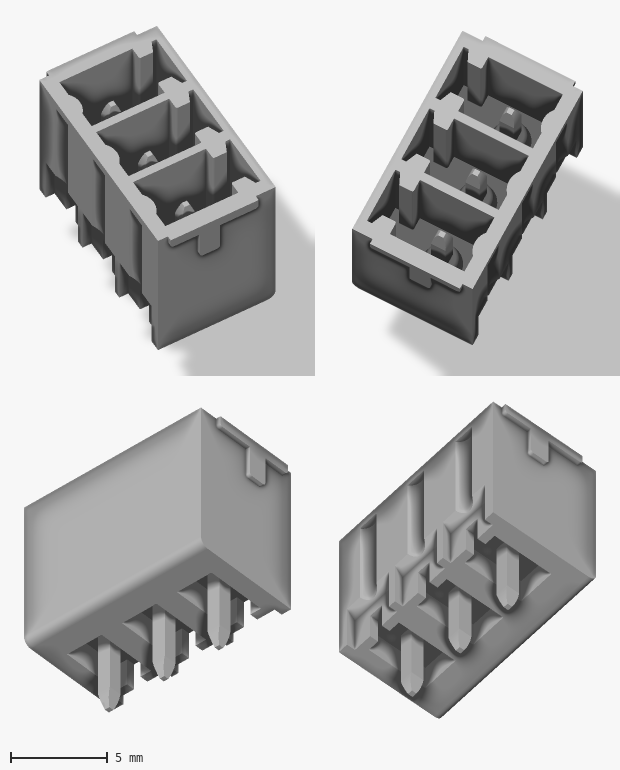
import cadquery as cq


LENGTH = 12.82
KEY_THICKNESS = 0.3
BODY_LENGTH = LENGTH - 2 * KEY_THICKNESS
BODY_DEPTH = 7.05
BODY_HEIGHT = 9.2
FRONT_Y = -3.01
BACK_Y = FRONT_Y + BODY_DEPTH
BACK_EDGE_RADIUS = 0.51

PITCH = 3.8
STATION_X = [-PITCH, 0.0, PITCH]

KEY_BAR_FRONT_Y = -2.42
KEY_BAR_BACK_Y = 2.85
KEY_BAR_HEIGHT = 0.63
KEY_STEM_FRONT_Y = -0.67
KEY_STEM_BACK_Y = 0.54
KEY_HEIGHT = 2.5
KEY_RADIUS = 0.19

RECESS_WIDTH = 3.33
RECESS_DEPTH = 0.54
RECESS_HEIGHT = 2.97
RECESS_INNER_HEIGHT = 2.45

GROOVE_WIDTH = 1.31
GROOVE_DEPTH = 0.37
GROOVE_TOP_Z = BODY_HEIGHT - 0.53

CAVITY_WIDTH = 3.33
CAVITY_FRONT_Y = -2.19
CAVITY_SHOULDER_Y = 2.18
CAVITY_FLOOR_Z = RECESS_HEIGHT
NECK_WIDTH = 1.86
NECK_END_Y = 3.0
NECK_RADIUS = 0.1
KEYWAY_WIDTH = 3.14
KEYWAY_FRONT_Y = 3.28
KEYWAY_BACK_Y = 3.56
BULGE_RADIUS = 1.09

COLLAR_BASE_DIAMETER = 2.18
COLLAR_TOP_DIAMETER = 1.41
COLLAR_ROUNDING = 0.18
COLLAR_SHOULDER_DIAMETER = COLLAR_TOP_DIAMETER + 2 * COLLAR_ROUNDING
COLLAR_CONE_HEIGHT = 0.83

PIN_SLOT_WIDTH = 0.92
PIN_SLOT_HEIGHT = 1.68
SKIRT_THICKNESS = 0.54
POCKET_WIDTH = 2.38
POCKET_HEIGHT = PIN_SLOT_HEIGHT
POCKET_FRONT_Y = FRONT_Y + RECESS_DEPTH + SKIRT_THICKNESS

PIN_WIDTH = 0.83
PIN_TIP_WIDTH = 0.31
PIN_TIP_LENGTH = 1.06
PIN_BOTTOM_Z = -3.19
PIN_TOP_Z = 7.82


def block(x_center, width, y_min, y_max, z_min, z_max):
    """Box centred on x_center in X, between the given Y and Z limits."""
    return (
        cq.Workplane("XY", origin=(x_center, (y_min + y_max) / 2, z_min))
        .rect(width, y_max - y_min)
        .extrude(z_max - z_min)
    )


def body_block():
    body = block(0, BODY_LENGTH, FRONT_Y, BACK_Y, 0, BODY_HEIGHT)
    return body.edges(">Y and <Z").fillet(BACK_EDGE_RADIUS)


def end_keys():
    """T-shaped keys as one slab over the full length, with its lower outer corners rounded."""
    bar_z = BODY_HEIGHT - KEY_BAR_HEIGHT
    stem_z = BODY_HEIGHT - KEY_HEIGHT
    bar = block(0, LENGTH, KEY_BAR_FRONT_Y, KEY_BAR_BACK_Y, bar_z, BODY_HEIGHT)
    stem = block(0, LENGTH, KEY_STEM_FRONT_Y, KEY_STEM_BACK_Y, stem_z, BODY_HEIGHT)
    return bar.edges("|X and <Z").fillet(KEY_RADIUS).union(stem.edges("|X and <Z").fillet(KEY_RADIUS))


def front_recess(x):
    """Recess at the foot of the front face, its roof rising towards the front."""
    inner_y = FRONT_Y + RECESS_DEPTH
    return (
        cq.Workplane("YZ", origin=(x - RECESS_WIDTH / 2, 0, 0))
        .moveTo(FRONT_Y, 0)
        .lineTo(inner_y, 0)
        .lineTo(inner_y, RECESS_INNER_HEIGHT)
        .lineTo(FRONT_Y, RECESS_HEIGHT)
        .close()
        .extrude(RECESS_WIDTH)
    )


def front_groove(x):
    """Round-bottomed groove running down the front face into the recess."""
    half_width = GROOVE_WIDTH / 2
    return (
        cq.Workplane("XY", origin=(x, FRONT_Y, RECESS_INNER_HEIGHT))
        .moveTo(-half_width, 0)
        .threePointArc((0, GROOVE_DEPTH), (half_width, 0))
        .close()
        .extrude(GROOVE_TOP_Z - RECESS_INNER_HEIGHT)
    )


def plug_cavity(x):
    """Plug chamber with a dovetail keyway behind it and a round bulge on its front wall."""
    depth = BODY_HEIGHT - CAVITY_FLOOR_Z
    chamber = block(x, CAVITY_WIDTH, CAVITY_FRONT_Y, CAVITY_SHOULDER_Y, CAVITY_FLOOR_Z, BODY_HEIGHT)
    keyway = (
        cq.Workplane("XY", origin=(x, 0, CAVITY_FLOOR_Z))
        .moveTo(-NECK_WIDTH / 2, CAVITY_SHOULDER_Y)
        .lineTo(NECK_WIDTH / 2, CAVITY_SHOULDER_Y)
        .lineTo(NECK_WIDTH / 2, NECK_END_Y)
        .lineTo(KEYWAY_WIDTH / 2, KEYWAY_FRONT_Y)
        .lineTo(KEYWAY_WIDTH / 2, KEYWAY_BACK_Y)
        .lineTo(-KEYWAY_WIDTH / 2, KEYWAY_BACK_Y)
        .lineTo(-KEYWAY_WIDTH / 2, KEYWAY_FRONT_Y)
        .lineTo(-NECK_WIDTH / 2, NECK_END_Y)
        .close()
        .extrude(depth)
    )
    neck_corners = cq.selectors.BoxSelector(
        (x - NECK_WIDTH / 2 - NECK_RADIUS, CAVITY_SHOULDER_Y - NECK_RADIUS, CAVITY_FLOOR_Z),
        (x + NECK_WIDTH / 2 + NECK_RADIUS, CAVITY_SHOULDER_Y + NECK_RADIUS, BODY_HEIGHT),
    )
    bulge = cq.Workplane("XY", origin=(x, FRONT_Y, CAVITY_FLOOR_Z)).circle(BULGE_RADIUS).extrude(depth)
    opening = chamber.union(keyway).edges("|Z").edges(neck_corners).fillet(NECK_RADIUS)
    return opening.cut(bulge)


def pin_collar(x):
    """Tapered collar with a rounded rim, standing on the cavity floor."""
    top_z = COLLAR_CONE_HEIGHT + COLLAR_ROUNDING
    return (
        cq.Workplane("XZ", origin=(x, 0, CAVITY_FLOOR_Z))
        .lineTo(COLLAR_BASE_DIAMETER / 2, 0)
        .lineTo(COLLAR_SHOULDER_DIAMETER / 2, COLLAR_CONE_HEIGHT)
        .radiusArc((COLLAR_TOP_DIAMETER / 2, top_z), -COLLAR_ROUNDING)
        .lineTo(0, top_z)
        .close()
        .revolve(360, (0, 0, 0), (0, 1, 0))
    )


def pin_slot(x):
    """Slot through the skirt wall, open to the underside, leading into the pin pocket."""
    return block(x, PIN_SLOT_WIDTH, FRONT_Y + RECESS_DEPTH, POCKET_FRONT_Y, 0, PIN_SLOT_HEIGHT)


def pin_pocket(x):
    """Pocket in the underside around the pin, as deep behind the pin axis as in front of it."""
    return block(x, POCKET_WIDTH, POCKET_FRONT_Y, -POCKET_FRONT_Y, 0, POCKET_HEIGHT)


def pin_hole(x):
    return block(x, PIN_WIDTH, -PIN_WIDTH / 2, PIN_WIDTH / 2, 0, BODY_HEIGHT)


def make_housing():
    housing = body_block().union(end_keys())
    for x in STATION_X:
        housing = housing.cut(plug_cavity(x)).union(pin_collar(x))
        housing = housing.cut(front_recess(x)).cut(front_groove(x))
        housing = housing.cut(pin_pocket(x)).cut(pin_slot(x)).cut(pin_hole(x))
    return housing


def make_pin(x):
    """Square pin, both ends narrowing straight in X and along tangent arcs in Y."""
    half = PIN_WIDTH / 2
    tip = PIN_TIP_WIDTH / 2
    low_z = PIN_BOTTOM_Z + PIN_TIP_LENGTH
    high_z = PIN_TOP_Z - PIN_TIP_LENGTH
    step = half - tip
    taper_radius = (PIN_TIP_LENGTH**2 + step**2) / (2 * step)
    straight_taper = (
        cq.Workplane("XZ", origin=(x, half, 0))
        .moveTo(-tip, PIN_BOTTOM_Z)
        .lineTo(tip, PIN_BOTTOM_Z)
        .lineTo(half, low_z)
        .lineTo(half, high_z)
        .lineTo(tip, PIN_TOP_Z)
        .lineTo(-tip, PIN_TOP_Z)
        .lineTo(-half, high_z)
        .lineTo(-half, low_z)
        .close()
        .extrude(PIN_WIDTH)
    )
    arc_taper = (
        cq.Workplane("YZ", origin=(x - half, 0, 0))
        .moveTo(half, low_z)
        .lineTo(half, high_z)
        .radiusArc((tip, PIN_TOP_Z), -taper_radius)
        .lineTo(-tip, PIN_TOP_Z)
        .radiusArc((-half, high_z), -taper_radius)
        .lineTo(-half, low_z)
        .radiusArc((-tip, PIN_BOTTOM_Z), -taper_radius)
        .lineTo(tip, PIN_BOTTOM_Z)
        .radiusArc((half, low_z), -taper_radius)
        .close()
        .extrude(PIN_WIDTH)
    )
    return straight_taper.intersect(arc_taper)


housing = make_housing()
pins = [make_pin(x) for x in STATION_X]
result = cq.Compound.makeCompound([housing.val(), *[pin.val() for pin in pins]])